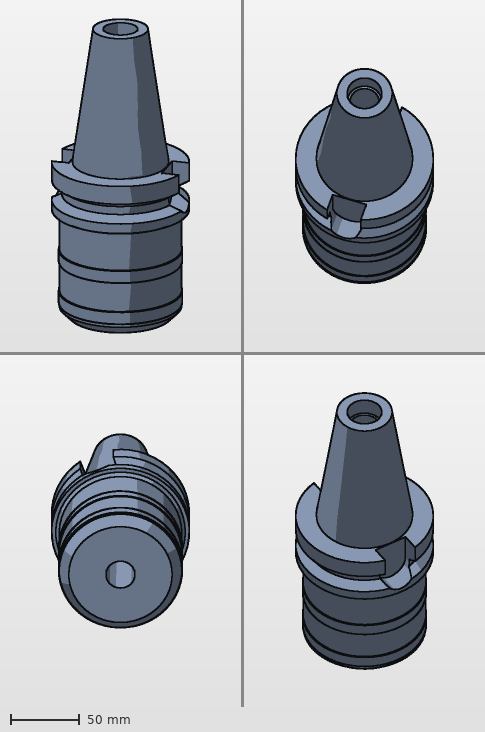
import cadquery as cq


taper_length = 101.8
taper_ratio = 7 / 24
gauge_radius = 69.85 / 2
small_end_radius = gauge_radius - taper_length * taper_ratio / 2

flange_radius = 50.0
flange_top = -1.5
flange_bottom = -38.0
groove_middle = -23.0
groove_radius = 42.7
groove_mouth_width = 15.3
groove_floor_width = 6.2
collar_radius = 47.0

body_radius = 44.5
body_bottom = -120.0
nose_chamfer = 7.0
band_radius = 45.0
band_width = 10.0
band_tops = (-68.8, -100.8)

slot_width = 25.7
slot_depth = 33.0
slot_floor_x = 35.3

bore_radius = 21.0 / 2
counterbore_radius = 25.0 / 2
counterbore_depth = 13.0


def groove_points():
    """Corners of the gripper groove as (radius, z), from top to bottom."""
    half_mouth = groove_mouth_width / 2
    half_floor = groove_floor_width / 2
    return [
        (flange_radius, groove_middle + half_mouth),
        (groove_radius, groove_middle + half_floor),
        (groove_radius, groove_middle - half_floor),
        (flange_radius, groove_middle - half_mouth),
    ]


def band_points(top):
    """Corners of one raised band with 45 degree edges as (radius, z), from top to bottom."""
    height = band_radius - body_radius
    bottom = top - band_width
    return [
        (body_radius, top),
        (band_radius, top - height),
        (band_radius, bottom + height),
        (body_radius, bottom),
    ]


def turned_blank():
    """Solid of revolution: taper, flange, body and bands."""
    outline = [
        (0, taper_length),
        (small_end_radius, taper_length),
        (gauge_radius, 0),
        (gauge_radius, flange_top),
        (flange_radius, flange_top),
    ]
    outline += groove_points()
    outline += [
        (flange_radius, flange_bottom),
        (collar_radius, flange_bottom),
        (body_radius, flange_bottom - (collar_radius - body_radius)),
    ]
    for top in band_tops:
        outline += band_points(top)
    outline += [
        (body_radius, body_bottom + nose_chamfer),
        (body_radius - nose_chamfer, body_bottom),
        (0, body_bottom),
    ]
    return cq.Workplane("XZ").polyline(outline).close().revolve(360, (0, 0, 0), (0, 1, 0))


def drive_slot(side):
    """Cutter for one drive slot with a round lower end; side is +1 or -1 along X."""
    half_width = slot_width / 2
    lowest = flange_top - slot_depth
    round_center = lowest + half_width
    cut_length = flange_radius - slot_floor_x
    return (
        cq.Workplane("YZ", origin=(side * slot_floor_x, 0, 0))
        .moveTo(-half_width, flange_top)
        .lineTo(-half_width, round_center)
        .threePointArc((0, lowest), (half_width, round_center))
        .lineTo(half_width, flange_top)
        .close()
        .extrude(side * cut_length)
    )


def central_bore():
    """Cutter for the through bore and the counterbore at the small end of the taper."""
    bore = (
        cq.Workplane("XY", origin=(0, 0, body_bottom))
        .circle(bore_radius)
        .extrude(taper_length - body_bottom)
    )
    counterbore = (
        cq.Workplane("XY", origin=(0, 0, taper_length))
        .circle(counterbore_radius)
        .extrude(-counterbore_depth)
    )
    return bore.union(counterbore)


result = turned_blank().cut(central_bore())
for slot_side in (-1, 1):
    result = result.cut(drive_slot(slot_side))